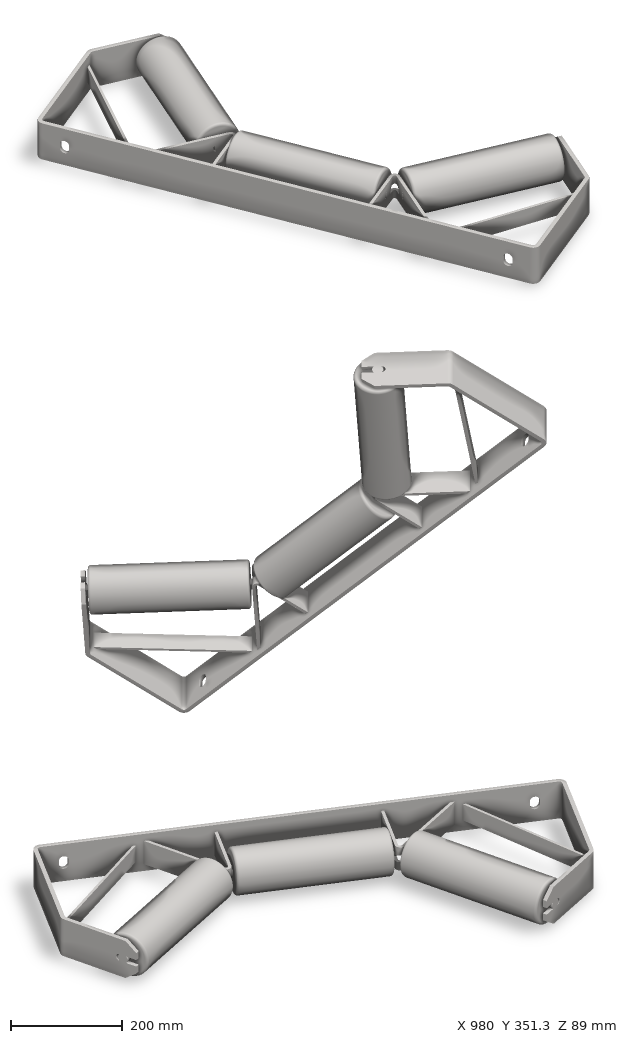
import cadquery as cq
import math


frame_length = 980.0
frame_width = 80.0
bar_thickness = 8.0
bar_inner_radius = 6.0
side_height = 238.5
arm_tip_y = 351.32
arm_chamfer_across = 18.0
arm_chamfer_along = 23.0
mount_slot_x = 433.0
mount_slot_width = 18.0
mount_slot_height = 27.0

trough_angle = 45.0
roller_diameter = 89.0
roller_length = 290.0
roller_edge_radius = 5.0
center_roller_y = 101.5
side_roller_x = 285.8
side_roller_y = 219.2
shaft_diameter = 20.0
shaft_across_flats = 14.0

bracket_thickness = 6.0
bracket_width = 50.0
bracket_inner_radius = 4.0
bracket_x = 150.0
bracket_foot_x = 286.0

strut_thickness = 5.0
strut_width = 35.0
strut_foot_x = 300.0
strut_top_y = 226.0

SIDES = (-1, 1)
half_length = frame_length / 2
base_top = bar_thickness
slope = math.radians(trough_angle)
roller_radius = roller_diameter / 2
shaft_radius = shaft_diameter / 2

arm_reach = (
    (half_length - side_roller_x) * math.sin(slope) + (side_height - side_roller_y) * math.cos(slope)
)
leg_reach = (
    (side_roller_x - bracket_foot_x) * math.sin(slope)
    + (side_roller_y - base_top) * math.cos(slope)
    + bracket_thickness
)
center_reach = bracket_x + bracket_thickness
slot_reach = max(arm_reach, leg_reach, center_reach) + 1.0


def offset_corners(points, distance):
    """Corners of a polyline moved to its left by distance, mitred at the bends."""
    angles = [
        math.atan2(y1 - y0, x1 - x0)
        for (x0, y0), (x1, y1) in zip(points, points[1:])
    ]
    moved = []
    for index, (x, y) in enumerate(points):
        before = angles[max(index - 1, 0)]
        after = angles[min(index, len(angles) - 1)]
        normal = (before + after + math.pi) / 2
        reach = distance / math.cos((after - before) / 2)
        moved.append((x + reach * math.cos(normal), y + reach * math.sin(normal)))
    return moved


def round_corners(body, corners, radius):
    """Fillet the edges parallel to Z that pass through the given XY corners."""
    for x, y in corners:
        corner_edge = cq.selectors.BoxSelector((x - 1, y - 1, -1), (x + 1, y + 1, 1))
        body = body.edges(corner_edge).fillet(radius)
    return body


def bent_bar(outer_points, thickness, width, inner_radius):
    """Bar whose outer face follows outer_points, with the metal on the left of the path."""
    inner_points = offset_corners(outer_points, thickness)
    outline = outer_points + inner_points[::-1]
    bar = cq.Workplane("XY").polyline(outline).close().extrude(width / 2, both=True)
    bar = round_corners(bar, outer_points[1:-1], inner_radius + thickness)
    return round_corners(bar, inner_points[1:-1], inner_radius)


def cylinder_along_x(radius, start, end):
    return cq.Workplane("YZ", origin=(start, 0, 0)).circle(radius).extrude(end - start)


def place_center_roller(body):
    return body.translate((0, center_roller_y, 0))


def place_side_roller(body):
    """Move a body built along X, its upper end at +X, to the +X side roller's place."""
    body = body.rotate((0, 0, 0), (0, 0, 1), trough_angle)
    return body.translate((side_roller_x, side_roller_y, 0))


def on_side(body, side):
    """The +X body itself, or its mirror image for the -X side."""
    return body if side > 0 else body.mirror("YZ")


def make_roller(lower_reach, upper_reach):
    """Roller along X with a flatted shaft reaching out of both ends."""
    shell = cylinder_along_x(roller_radius, -roller_length / 2, roller_length / 2)
    shell = shell.faces("<X or >X").edges().fillet(roller_edge_radius)
    shaft = cylinder_along_x(shaft_radius, -lower_reach, upper_reach)
    flats = cq.Workplane("XY").box(2 * slot_reach, shaft_diameter, shaft_across_flats)
    return shell.union(shaft.intersect(flats))


def shaft_slot_cutter():
    """Slot for a shaft along X: open towards +Y, rounded at the bottom just below the flats."""
    round_radius = shaft_across_flats / 2
    round_y = -math.sqrt(shaft_radius**2 - round_radius**2)
    bottom = cylinder_along_x(round_radius, -slot_reach, slot_reach)
    opening = cq.Workplane("XY").box(
        2 * slot_reach, roller_diameter, shaft_across_flats, centered=(True, False, True)
    )
    return bottom.union(opening).translate((0, round_y, 0))


def arm_chamfer_cutter(arm_tip_x):
    """The two wedges that bevel the tip of the +X arm, cut square through the arm."""
    half_width = frame_width / 2
    wedge = (
        cq.Workplane("YZ")
        .moveTo(0, half_width - arm_chamfer_across)
        .lineTo(0, half_width)
        .lineTo(-arm_chamfer_along, half_width)
        .close()
        .extrude(2 * bar_thickness, both=True)
    )
    wedges = wedge.union(wedge.mirror("XY"))
    wedges = wedges.rotate((0, 0, 0), (0, 0, 1), trough_angle)
    return wedges.translate((arm_tip_x, arm_tip_y, 0))


def make_frame():
    arm_tip_x = half_length - (arm_tip_y - side_height) / math.tan(slope)
    outer_points = [
        (-arm_tip_x, arm_tip_y),
        (-half_length, side_height),
        (-half_length, 0),
        (half_length, 0),
        (half_length, side_height),
        (arm_tip_x, arm_tip_y),
    ]
    body = bent_bar(outer_points, bar_thickness, frame_width, bar_inner_radius)
    for side in SIDES:
        body = body.cut(on_side(arm_chamfer_cutter(arm_tip_x), side))
        body = body.cut(on_side(place_side_roller(shaft_slot_cutter()), side))
    mount_slots = (
        cq.Workplane("XZ")
        .pushPoints([(side * mount_slot_x, 0) for side in SIDES])
        .slot2D(mount_slot_height, mount_slot_width, 90)
        .extrude(-bar_thickness)
    )
    return body.cut(mount_slots)


def make_bracket(side):
    crest_y = base_top + (bracket_foot_x - bracket_x) * math.tan(slope)
    spare = 2 * bracket_thickness
    outer_points = [
        (bracket_foot_x + spare, base_top - spare * math.tan(slope)),
        (bracket_x, crest_y),
        (bracket_x, base_top),
    ]
    body = bent_bar(outer_points, bracket_thickness, bracket_width, bracket_inner_radius)
    above_base = (
        cq.Workplane("XY")
        .box(frame_length, side_height, frame_width, centered=(True, False, True))
        .translate((0, base_top, 0))
    )
    body = body.intersect(above_base)
    body = body.cut(place_center_roller(shaft_slot_cutter()))
    body = body.cut(place_side_roller(shaft_slot_cutter()))
    return on_side(body, side)


def make_strut(side):
    wall_x = half_length - bar_thickness
    tilt = math.atan2(strut_top_y - base_top, wall_x - strut_foot_x)
    outline = [
        (strut_foot_x, base_top),
        (wall_x, strut_top_y),
        (wall_x, strut_top_y - strut_thickness / math.cos(tilt)),
        (strut_foot_x + strut_thickness / math.sin(tilt), base_top),
    ]
    body = cq.Workplane("XY").polyline(outline).close().extrude(strut_width / 2, both=True)
    return on_side(body, side)


def make_side_roller(side):
    return on_side(place_side_roller(make_roller(leg_reach, arm_reach)), side)


frame = make_frame()
center_roller = place_center_roller(make_roller(center_reach, center_reach))
side_rollers = [make_side_roller(side) for side in SIDES]
brackets = [make_bracket(side) for side in SIDES]
struts = [make_strut(side) for side in SIDES]

bodies = [frame, center_roller, *side_rollers, *brackets, *struts]
result = cq.Compound.makeCompound([body.solids().val() for body in bodies])